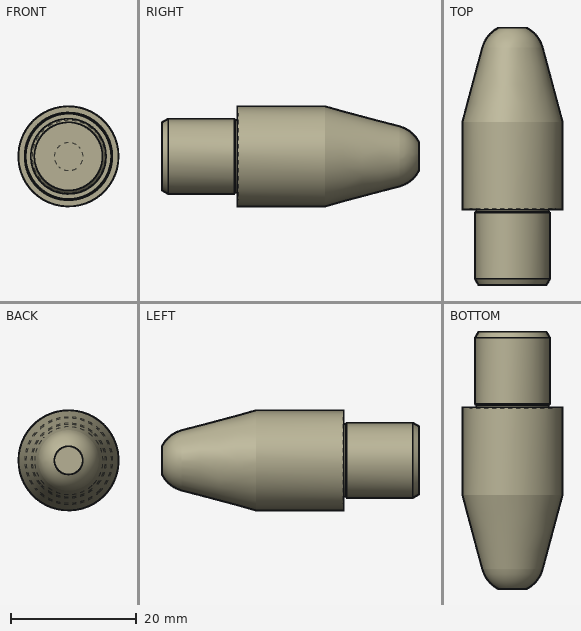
import cadquery as cq
import math


body_radius = 16.0 / 2
body_length = 14.0

nose_length = 15.0
cone_half_angle = math.radians(15.0)
dome_radius = 5.0

shank_radius = 12.0 / 2
shank_length = 12.0
shank_chamfer_length = 1.0
shank_chamfer_angle = math.radians(30.0)

neck_radius = 11.6 / 2
neck_end = 0.5
recess_radius = 14.0 / 2
recess_depth = 0.2
undercut_fillet = 0.3

tip_y = body_length + nose_length
cone_end_radius = dome_radius * math.cos(cone_half_angle)
cone_length = (body_radius - cone_end_radius) / math.tan(cone_half_angle)
cone_end_y = body_length + cone_length
dome_center_y = cone_end_y - dome_radius * math.sin(cone_half_angle)
tip_rise = tip_y - dome_center_y
tip_radius = math.sqrt(dome_radius**2 - tip_rise**2)

tip_angle = math.asin(tip_rise / dome_radius)
dome_mid_angle = (cone_half_angle + tip_angle) / 2
dome_mid = (
    dome_radius * math.cos(dome_mid_angle),
    dome_center_y + dome_radius * math.sin(dome_mid_angle),
)

shank_end_radius = shank_radius - shank_chamfer_length * math.tan(shank_chamfer_angle)
neck_slope = shank_radius - neck_radius
fillet_center_radius = neck_radius + undercut_fillet
fillet_center_y = recess_depth - undercut_fillet
fillet_mid = (
    fillet_center_radius - undercut_fillet * math.cos(math.pi / 4),
    fillet_center_y + undercut_fillet * math.sin(math.pi / 4),
)


def half_profile():
    """Closed (radius, y) outline, from the shank end along the surface to the tip."""
    return (
        cq.Workplane("XY")
        .moveTo(0, -shank_length)
        .lineTo(shank_end_radius, -shank_length)
        .lineTo(shank_radius, shank_chamfer_length - shank_length)
        .lineTo(shank_radius, -neck_end)
        .lineTo(neck_radius, neck_slope - neck_end)
        .lineTo(neck_radius, fillet_center_y)
        .threePointArc(fillet_mid, (fillet_center_radius, recess_depth))
        .lineTo(recess_radius - recess_depth, recess_depth)
        .lineTo(recess_radius, 0)
        .lineTo(body_radius, 0)
        .lineTo(body_radius, body_length)
        .lineTo(cone_end_radius, cone_end_y)
        .threePointArc(dome_mid, (tip_radius, tip_y))
        .lineTo(0, tip_y)
        .close()
    )


result = half_profile().revolve(360, (0, 0, 0), (0, 1, 0))